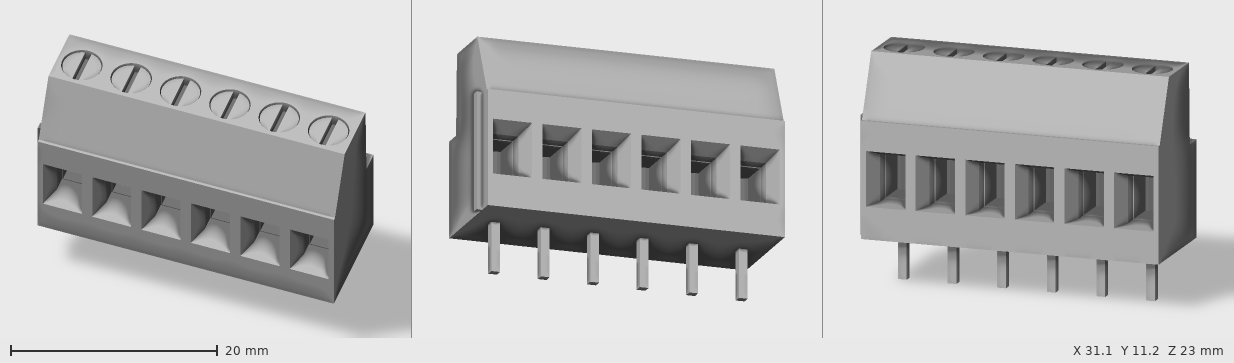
import cadquery as cq
import math

total_length = 31.05
total_height = 23.0
depth = 11.2
poles = 6

rib_height = 11.95
rib_projection = 0.6
rib_outer_width = 0.78
rib_root_width = 0.47
rib_center_y = 1.93

pin_length = 5.0
pin_width = 0.9
pin_y = 5.35

housing_length = total_length - rib_projection
housing_height = total_height - pin_length
lip_depth = 0.3
lip_height = 11.8
crown_front_y = 3.05
step_height = 9.8
step_depth = 2.02
crown_setback = 2.27

entry_width = 4.0
entry_bottom = 3.25
entry_top = 8.82
funnel_side_taper = 0.62
funnel_roof_drop = 0.78
funnel_depth = 2.25
throat_end_y = 3.73
clamp_ledge = 0.1
groove_width = 1.83

well_diameter = 4.0
well_depth = 1.85
screw_y = 5.5
screw_diameter = 3.8
screw_recess = 0.2
slot_width = 0.65
slot_depth = 0.93

pitch = housing_length / poles
pole_centers = [(i + 0.5) * pitch for i in range(poles)]
entry_height = entry_top - entry_bottom
throat_width = entry_width - 2 * funnel_side_taper
throat_height = entry_height - funnel_roof_drop
throat_center_z = entry_bottom + throat_height / 2
clamp_width = throat_width - 2 * clamp_ledge
clamp_height = throat_height - 2 * clamp_ledge
groove_radius = screw_diameter / 2
clamp_end_y = screw_y + math.sqrt(groove_radius**2 - (groove_width / 2) ** 2)


def make_housing():
    """Stepped housing with a sloped upper front, extruded along X."""
    profile = [
        (0, 0),
        (depth, 0),
        (depth, step_height),
        (depth - step_depth, step_height),
        (depth - crown_setback, housing_height),
        (crown_front_y, housing_height),
        (lip_depth, lip_height),
        (0, lip_height),
    ]
    return cq.Workplane("YZ").polyline(profile).close().extrude(housing_length)


def make_rib():
    """Dovetail key rib, wider at its outer face than at its root."""
    outline = [
        (-rib_projection, rib_center_y - rib_outer_width / 2),
        (0, rib_center_y - rib_root_width / 2),
        (0, rib_center_y + rib_root_width / 2),
        (-rib_projection, rib_center_y + rib_outer_width / 2),
    ]
    return cq.Workplane("XY").polyline(outline).close().extrude(rib_height)


def make_straight_passage(x, width, height, start_y, end_y):
    """Rectangular passage along Y, centered on the throat."""
    return (
        cq.Workplane("XZ", origin=(x, start_y, throat_center_z))
        .rect(width, height)
        .extrude(start_y - end_y)
    )


def make_wire_entry(x):
    """Level-floored funnel, throat and clamp opening, with a back groove around the screw axis."""
    funnel = (
        cq.Workplane("XZ", origin=(x, 0, entry_bottom + entry_height / 2))
        .rect(entry_width, entry_height)
        .workplane(offset=-funnel_depth)
        .center(0, -funnel_roof_drop / 2)
        .rect(throat_width, throat_height)
        .loft(ruled=True)
    )
    throat = make_straight_passage(x, throat_width, throat_height, funnel_depth, throat_end_y)
    clamp = make_straight_passage(x, clamp_width, clamp_height, throat_end_y, clamp_end_y)
    groove = (
        cq.Workplane("XY", origin=(x, 0, entry_bottom + clamp_ledge))
        .moveTo(-groove_width / 2, clamp_end_y)
        .threePointArc((0, screw_y + groove_radius), (groove_width / 2, clamp_end_y))
        .close()
        .extrude(clamp_height)
    )
    return funnel.union(throat).union(clamp).union(groove)


def make_well(x):
    """Round screw well sunk into the crown."""
    return (
        cq.Workplane("XY", origin=(x, screw_y, housing_height - well_depth))
        .circle(well_diameter / 2)
        .extrude(well_depth)
    )


def make_screw(x):
    """Slotted screw head standing on the floor of its well."""
    head_height = well_depth - screw_recess
    head = (
        cq.Workplane("XY", origin=(x, screw_y, housing_height - well_depth))
        .circle(screw_diameter / 2)
        .extrude(head_height)
    )
    slot = (
        cq.Workplane("XY", origin=(x, screw_y, housing_height - screw_recess))
        .rect(slot_width, screw_diameter)
        .extrude(-slot_depth)
    )
    return head.cut(slot)


def make_pin(x):
    """Square contact pin below the housing."""
    return (
        cq.Workplane("XY", origin=(x, pin_y, 0))
        .rect(pin_width, pin_width)
        .extrude(-pin_length)
    )


result = make_housing().union(make_rib())
for pole_x in pole_centers:
    result = result.cut(make_wire_entry(pole_x)).cut(make_well(pole_x))
    result = result.union(make_screw(pole_x)).union(make_pin(pole_x))